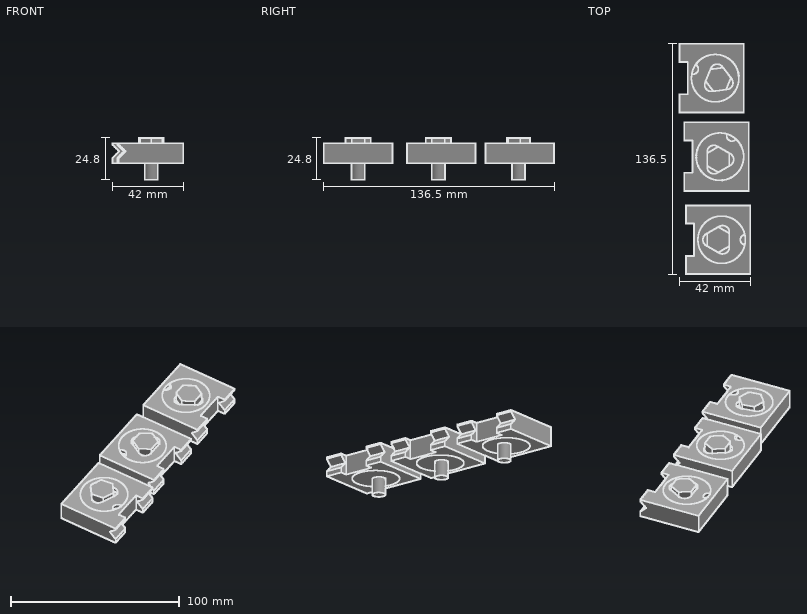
import cadquery as cq
import math

BLOCK_LENGTH = 38.2
BLOCK_WIDTH = 40.8
BLOCK_THICKNESS = 12.0
FRONT_NOTCH_DEPTH = 4.8
FRONT_NOTCH_WIDTH = 19.0
V_APEX_HEIGHT = 7.1
V_HALF_HEIGHT = 4.0
V_DEPTH = V_HALF_HEIGHT

DISC_RADIUS = 14.0
BORE_TO_REAR_EDGE = 17.0
BORE_X = BLOCK_LENGTH - BORE_TO_REAR_EDGE
INDEX_NOTCH_RADIUS = 3.0
BLOCK_TRAVEL = 3.8
MIDDLE_TURN = 60
FULL_TURN = 157.5
ECCENTRICITY = BLOCK_TRAVEL / (1 - math.cos(math.radians(FULL_TURN)))
RECESS_DEPTH = 3.0
RECESS_FLOOR = BLOCK_THICKNESS - RECESS_DEPTH

HEAD_ACROSS_FLATS = 13.1
HEAD_PROJECTION = 3.0
POCKET_CORNER_RADIUS = 4.0
SHANK_RADIUS = 4.0
SHANK_PROJECTION = 9.8

TOTAL_SPAN = 136.5
BOLT_X = 22.9
FIRST_Y = BLOCK_WIDTH / 2
MIDDLE_Y = 69.6
LAST_Y = TOTAL_SPAN - BLOCK_WIDTH / 2
CLAMP_SETS = [
    (FIRST_Y, 0),
    (MIDDLE_Y, MIDDLE_TURN),
    (LAST_Y, FULL_TURN),
]


def make_block():
    """Plate with its front edge on X = 0, centred on Y, underside at Z = 0."""
    profile = [
        (0, 0),
        (BLOCK_LENGTH, 0),
        (BLOCK_LENGTH, BLOCK_THICKNESS),
        (0, BLOCK_THICKNESS),
        (0, V_APEX_HEIGHT + V_HALF_HEIGHT),
        (V_DEPTH, V_APEX_HEIGHT),
        (0, V_APEX_HEIGHT - V_HALF_HEIGHT),
    ]
    plate = cq.Workplane("XZ").polyline(profile).close().extrude(BLOCK_WIDTH / 2, both=True)
    front_notch = cq.Workplane("XY").box(
        FRONT_NOTCH_DEPTH, FRONT_NOTCH_WIDTH, BLOCK_THICKNESS, centered=(False, True, False)
    )
    bore = cq.Workplane("XY").center(BORE_X, 0).circle(DISC_RADIUS).extrude(BLOCK_THICKNESS)
    return plate.cut(front_notch).cut(bore)


def make_pocket():
    """Rounded triangle whose flat sides meet three sides of the bolt head, a corner toward -X."""
    triangle_circumradius = HEAD_ACROSS_FLATS
    return (
        cq.Workplane("XY", origin=(-ECCENTRICITY, 0, RECESS_FLOOR))
        .transformed(rotate=(0, 0, 180))
        .polygon(3, 2 * triangle_circumradius)
        .extrude(RECESS_DEPTH)
        .edges("|Z")
        .fillet(POCKET_CORNER_RADIUS)
    )


def make_disc():
    """Disc centred on the origin with the index notch toward +X and the bolt seat toward -X."""
    disc = cq.Workplane("XY").circle(DISC_RADIUS).extrude(BLOCK_THICKNESS)
    index_notch = (
        cq.Workplane("XY", origin=(DISC_RADIUS, 0, RECESS_FLOOR))
        .circle(INDEX_NOTCH_RADIUS)
        .extrude(RECESS_DEPTH)
    )
    shank_hole = (
        cq.Workplane("XY", origin=(-ECCENTRICITY, 0, 0))
        .circle(SHANK_RADIUS)
        .extrude(BLOCK_THICKNESS)
    )
    return disc.cut(index_notch).cut(make_pocket()).cut(shank_hole)


def make_bolt():
    """Hexagon-head bolt standing in the seat of a disc centred on the origin."""
    head = (
        cq.Workplane("XY", origin=(-ECCENTRICITY, 0, RECESS_FLOOR))
        .polygon(6, HEAD_ACROSS_FLATS, circumscribed=True)
        .extrude(RECESS_DEPTH + HEAD_PROJECTION)
    )
    shank = (
        cq.Workplane("XY", origin=(-ECCENTRICITY, 0, -SHANK_PROJECTION))
        .circle(SHANK_RADIUS)
        .extrude(SHANK_PROJECTION + RECESS_FLOOR)
    )
    return head.union(shank)


def make_clamp_set(center_y, turn):
    """Block, disc and bolt of one clamp, with the bolt axis at BOLT_X."""
    bore_x = BOLT_X + ECCENTRICITY * math.cos(math.radians(turn))
    block = make_block().translate((bore_x - BORE_X, center_y, 0))
    disc = make_disc().rotate((0, 0, 0), (0, 0, 1), turn).translate((bore_x, center_y, 0))
    bolt = make_bolt().rotate((0, 0, 0), (0, 0, 1), turn).translate((bore_x, center_y, 0))
    return [block.val(), disc.val(), bolt.val()]


bodies = []
for center_y, turn in CLAMP_SETS:
    bodies += make_clamp_set(center_y, turn)

result = cq.Compound.makeCompound(bodies)